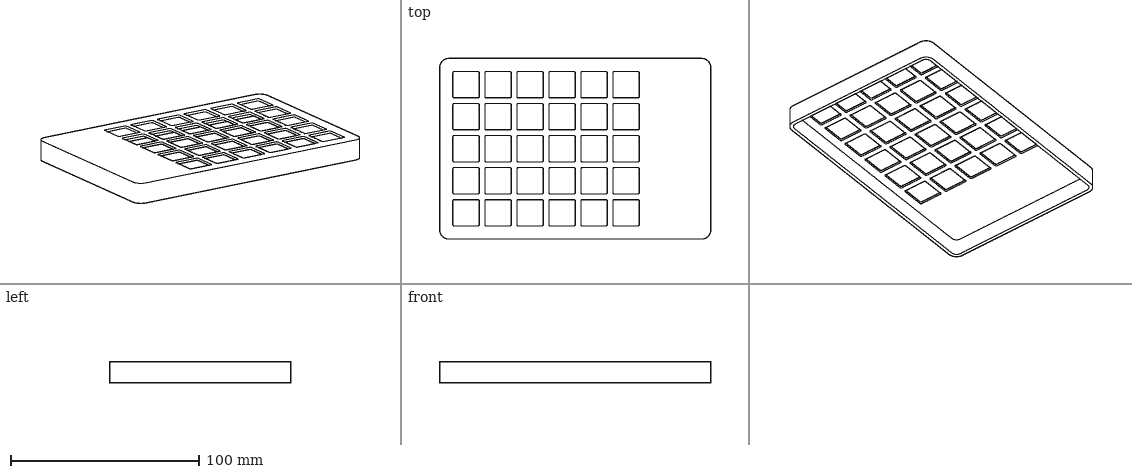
import cadquery as cq

length = 144.0
width = 96.0
height = 11.2
corner_radius = 5.0

wall = 2.0
plate_thickness = 1.3

columns = 6
rows = 5
pitch = 17.0
window = 13.8
window_corner_radius = 0.5
grid_width = (rows - 1) * pitch + window
edge_margin = (width - grid_width) / 2


def rounded_block(size_x, size_y, size_z, radius):
    """Upright block centred on the Z axis, standing on Z = 0, with rounded vertical edges."""
    block = cq.Workplane("XY").box(size_x, size_y, size_z, centered=(True, True, False))
    return block.edges("|Z").fillet(radius)


def hollow_case():
    """Open-bottomed tray: an even side wall under a thin top plate."""
    outer = rounded_block(length, width, height, corner_radius)
    cavity = rounded_block(
        length - 2 * wall,
        width - 2 * wall,
        height - plate_thickness,
        corner_radius - wall,
    )
    return outer.cut(cavity)


def window_cutters():
    """Square prisms with rounded corners that pass through the top plate at every grid position."""
    grid_center_x = -length / 2 + edge_margin + window / 2 + (columns - 1) * pitch / 2
    return (
        cq.Workplane("XY")
        .center(grid_center_x, 0)
        .rarray(pitch, pitch, columns, rows)
        .rect(window, window)
        .extrude(height)
        .edges("|Z")
        .fillet(window_corner_radius)
    )


result = hollow_case().cut(window_cutters())